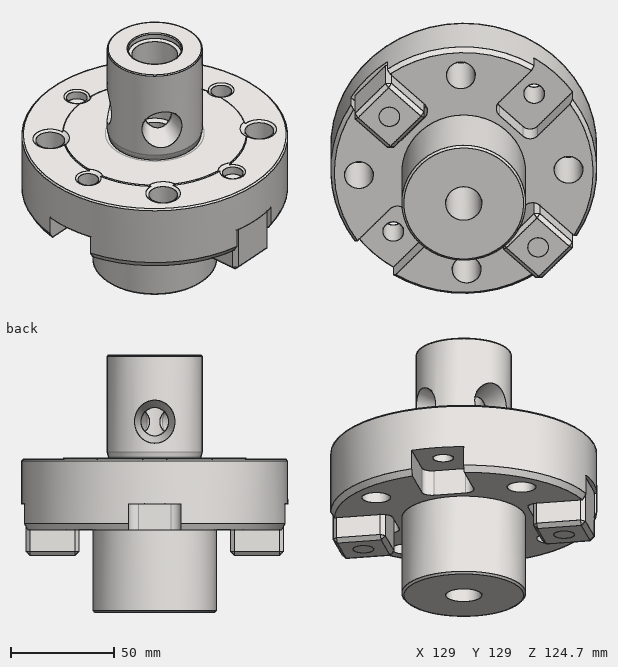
import cadquery as cq
import math

flange_radius = 64.5
flange_top = 34.3
flange_top_chamfer = 0.8
flange_bottom_chamfer_height = 3.1
flange_bottom_chamfer_angle = 30.0

pad_radius = 44.4
pad_height = 0.5
pad_edge_run = 0.4
pad_top = flange_top + pad_height

spigot_radius = 30.0
spigot_length = 40.0
spigot_chamfer = 1.0

stem_radius = 23.1
stem_length = 49.9
stem_chamfer = 0.5
stem_top = pad_top + stem_length
undercut_height = 3.0
undercut_neck_height = 0.5
undercut_radius = 22.5
undercut_face_radius = 24.0
undercut_face_depth = 0.3

mouth_radius = 12.9
mouth_depth = 3.0
mouth_chamfer = 0.5
bore_radius = 11.1
bore_depth = 48.6
through_radius = 8.8
bore_step_angle = 140.0

side_hole_depth = 32.2
side_hole_outer_radius = 10.5
side_hole_inner_radius = 6.7
side_hole_cone_end = 10.5
side_hole_angles = (90.0, 220.0, 320.0)

axis_angles = (0.0, 90.0, 180.0, 270.0)
large_hole_offset_angle = 45.0
countersink_angle = 120.0
large_hole_circle_radius = 50.8
large_hole_radius = 7.0
large_countersink_radius = 8.4
small_hole_circle_radius = 49.7
small_hole_radius = 5.0
small_countersink_radius = 6.2

slot_width = 25.7
slot_depth = 12.6
slot_inner_end = 33.5
slot_corner_radius = 5.0

key_angles = (0.0, 180.0)
key_inner_end = 36.6
key_length = 25.8
key_height = 25.0
key_chamfer = 2.0
key_bottom = slot_depth - key_height
screw_recess = 4.8
screw_top = flange_top - screw_recess


def turned_blank():
    """Spigot, flange and stem revolved as one outline about Z."""
    bottom_chamfer_run = flange_bottom_chamfer_height * math.tan(math.radians(flange_bottom_chamfer_angle))
    outline = [
        (0, -spigot_length),
        (spigot_radius - spigot_chamfer, -spigot_length),
        (spigot_radius, -spigot_length + spigot_chamfer),
        (spigot_radius, 0),
        (flange_radius - bottom_chamfer_run, 0),
        (flange_radius, flange_bottom_chamfer_height),
        (flange_radius, flange_top - flange_top_chamfer),
        (flange_radius - flange_top_chamfer, flange_top),
        (pad_radius + pad_edge_run, flange_top),
        (pad_radius, pad_top),
        (undercut_face_radius, pad_top),
        (undercut_radius, pad_top - undercut_face_depth),
        (undercut_radius, pad_top + undercut_neck_height),
        (stem_radius, pad_top + undercut_height),
        (stem_radius, stem_top - stem_chamfer),
        (stem_radius - stem_chamfer, stem_top),
        (0, stem_top),
    ]
    return cq.Workplane("XZ").polyline(outline).close().revolve(360, (0, 0), (0, 1))


def stepped_bore():
    """Cutter for the axial bore: chamfered mouth, bore and smaller through hole."""
    slope = math.tan(math.radians(bore_step_angle / 2))
    mouth_step_drop = (mouth_radius - bore_radius) / slope
    bore_step_drop = (bore_radius - through_radius) / slope
    outline = [
        (0, -spigot_length),
        (through_radius, -spigot_length),
        (through_radius, stem_top - bore_depth - bore_step_drop),
        (bore_radius, stem_top - bore_depth),
        (bore_radius, stem_top - mouth_depth - mouth_step_drop),
        (mouth_radius, stem_top - mouth_depth),
        (mouth_radius, stem_top - mouth_chamfer),
        (mouth_radius + mouth_chamfer, stem_top),
        (0, stem_top),
    ]
    return cq.Workplane("XZ").polyline(outline).close().revolve(360, (0, 0), (0, 1))


def side_hole(angle):
    """Cutter for one side hole, from the stem axis out past the stem surface."""
    slope = (side_hole_outer_radius - side_hole_inner_radius) / (stem_radius - side_hole_cone_end)
    reach = 2 * stem_radius
    outline = [
        (0, 0),
        (0, side_hole_inner_radius),
        (side_hole_cone_end, side_hole_inner_radius),
        (reach, side_hole_inner_radius + slope * (reach - side_hole_cone_end)),
        (reach, 0),
    ]
    cutter = cq.Workplane("XY").polyline(outline).close().revolve(360, (0, 0), (1, 0))
    return cutter.rotate((0, 0, 0), (0, 0, 1), angle).translate((0, 0, stem_top - side_hole_depth))


def countersunk_hole(circle_radius, angle, hole_radius, countersink_radius):
    """Cutter for one flange hole; its countersink cone continues up through the pad."""
    slope = math.tan(math.radians(countersink_angle / 2))
    cone_bottom = flange_top - (countersink_radius - hole_radius) / slope
    pad_rim_radius = countersink_radius + pad_height * slope
    outline = [
        (0, 0),
        (hole_radius, 0),
        (hole_radius, cone_bottom),
        (pad_rim_radius, pad_top),
        (0, pad_top),
    ]
    cutter = cq.Workplane("XZ").polyline(outline).close().revolve(360, (0, 0), (0, 1))
    return cutter.translate((circle_radius, 0, 0)).rotate((0, 0, 0), (0, 0, 1), angle)


def slot(angle):
    """Cutter for one slot, with rounded corners at its inner end."""
    length = flange_radius - slot_inner_end
    cutter = (
        cq.Workplane("XY")
        .box(length, slot_width, slot_depth, centered=(False, True, False))
        .translate((slot_inner_end, 0, 0))
        .edges("|Z and <X")
        .fillet(slot_corner_radius)
    )
    return cutter.rotate((0, 0, 0), (0, 0, 1), angle)


def make_adapter():
    """Main body with its bore, side holes, flange holes and slots."""
    adapter = turned_blank().cut(stepped_bore())
    for angle in side_hole_angles:
        adapter = adapter.cut(side_hole(angle))
    for angle in axis_angles:
        large_hole = countersunk_hole(
            large_hole_circle_radius,
            angle + large_hole_offset_angle,
            large_hole_radius,
            large_countersink_radius,
        )
        small_hole = countersunk_hole(
            small_hole_circle_radius,
            angle,
            small_hole_radius,
            small_countersink_radius,
        )
        adapter = adapter.cut(large_hole).cut(small_hole)
        adapter = adapter.cut(slot(angle))
    return adapter


def make_screw(angle):
    """Plain screw shank, flush with the key bottom and ending below the flange top."""
    screw = (
        cq.Workplane("XY", origin=(small_hole_circle_radius, 0, key_bottom))
        .circle(small_hole_radius)
        .extrude(screw_top - key_bottom)
    )
    return screw.rotate((0, 0, 0), (0, 0, 1), angle)


def make_key(angle):
    """Drive key seated on the slot roof, chamfered on its upright and bottom edges."""
    key = (
        cq.Workplane("XY")
        .box(key_length, slot_width, key_height, centered=(False, True, False))
        .translate((key_inner_end, 0, key_bottom))
        .edges("|Z or <Z")
        .chamfer(key_chamfer)
    )
    return key.rotate((0, 0, 0), (0, 0, 1), angle).cut(make_screw(angle))


adapter = make_adapter()
keys = [make_key(angle) for angle in key_angles]
screws = [make_screw(angle) for angle in key_angles]

result = cq.Compound.makeCompound(
    [adapter.val(), *[key.val() for key in keys], *[screw.val() for screw in screws]]
)